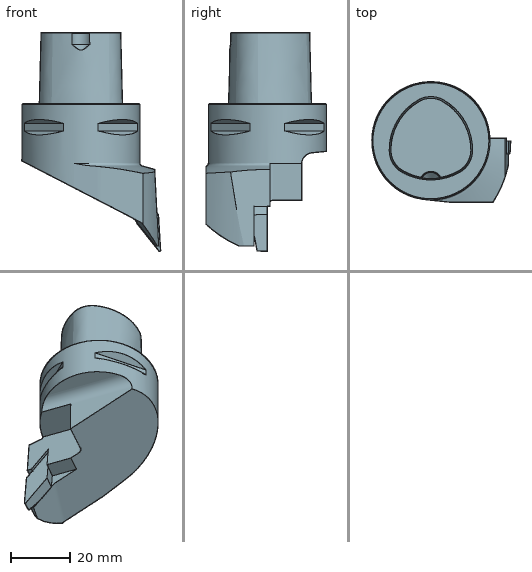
import cadquery as cq
import math


shank_length = 24.0
shank_width = 28.2
lobe_height = 0.85
shank_taper = math.degrees(math.atan(1 / 40))

notch_radius = 3.35
notch_y = -14.0
notch_depth = 4.0
notch_point_angle = 95.0
notch_rim = 0.3

flange_radius = 20.0
flange_chamfer = 0.4
flange_bottom = -20.2
groove_z = -8.0
groove_floor_distance = 17.65
groove_floor_height = 2.5
groove_flare = math.radians(30)

arm_front = -20.8
arm_corner_x = 6.25
arm_corner_blend = 11.0
arm_outer_arc = [(21.0, arm_front), (25.2, -12.0), (27.0, 0.9)]
arm_back = 0.9
arm_bottom = -50.0
arm_tip = -48.2
neck_radius = 20.9
neck_drop = 0.9
arm_top_slope = 0.29
side_x = 25.0
side_top = -22.4
side_slope = 0.05

underside_z = -19.4
underside_slope = 0.516
underside_blend = 3.0

clearance_points = [(18.9, -4.5, -40.2), (25.7, -4.5, -48.6), (20.9, -20.8, -40.7)]

relief_y = 11.6
relief_edge_z = -16.2
relief_slope = 0.1
relief_blend = 3.8
gullet_x = 5.9
gullet_blend = 1.0

insert_nose_radius = 0.4
insert_nose_centre = (26.6, -49.6)
insert_side = 13.3
insert_lead = 3.5
insert_angle = 35.0
insert_thickness = 4.5
insert_land = 0.7
insert_relief = 2.0
heel_depth = 3.5
heel_run = 0.75
heel_rise = 4.0
seat_top = -34.8
seat_left = 9.0

margin = 5.0


def polar(radius, angle):
    return cq.Vector(radius * math.cos(math.radians(angle)), radius * math.sin(math.radians(angle)))


def lobed_section():
    """Three small lobe arcs joined tangentially by three wide flank arcs, one lobe toward +Y."""
    half = shank_width / 2
    root3 = math.sqrt(3)
    lobe_radius = (shank_width - root3 * (half + lobe_height)) / (2 - root3)
    centre_distance = half + lobe_height - lobe_radius
    flank_distance = half - lobe_height
    section = None
    for angle in (90, 210, 330):
        centre = polar(centre_distance, angle)
        start = centre + polar(lobe_radius, angle - 30)
        end = centre + polar(lobe_radius, angle + 30)
        next_start = polar(centre_distance, angle + 120) + polar(lobe_radius, angle + 90)
        if section is None:
            section = cq.Workplane("XY").moveTo(start.x, start.y)
        section = section.threePointArc(
            polar(half + lobe_height, angle).toTuple()[:2], end.toTuple()[:2])
        section = section.threePointArc(
            polar(flank_distance, angle + 60).toTuple()[:2], next_start.toTuple()[:2])
    return section.close()


def make_shank():
    shank = lobed_section().extrude(shank_length, taper=shank_taper)
    point_height = notch_radius / math.tan(math.radians(notch_point_angle / 2))
    shoulder_z = shank_length - notch_depth
    drill = (
        cq.Workplane("XZ")
        .moveTo(0, shank_length)
        .lineTo(notch_radius + notch_rim, shank_length)
        .lineTo(notch_radius, shank_length - notch_rim)
        .lineTo(notch_radius, shoulder_z)
        .lineTo(0, shoulder_z - point_height)
        .close()
        .revolve(360, (0, 0), (0, 1))
        .translate((0, notch_y, 0))
    )
    return shank.cut(drill)


def make_flange():
    flange = cq.Workplane("XY").circle(flange_radius).extrude(arm_bottom)
    flange = flange.faces(">Z").edges().chamfer(flange_chamfer)
    depth = flange_radius - groove_floor_distance + margin
    floor_half = groove_floor_height / 2
    mouth_half = floor_half + depth * math.tan(groove_flare)
    groove = (
        cq.Workplane("XZ")
        .polyline([
            (groove_floor_distance, groove_z - floor_half),
            (groove_floor_distance + depth, groove_z - mouth_half),
            (groove_floor_distance + depth, groove_z + mouth_half),
            (groove_floor_distance, groove_z + floor_half),
        ])
        .close()
        .extrude(flange_radius, both=True)
    )
    for angle in (45, 135, 225, 315):
        flange = flange.cut(groove.rotate((0, 0, 0), (0, 0, 1), angle))
    return flange


def make_arm():
    corner_distance = math.hypot(arm_corner_x, arm_front)
    corner_angle = math.degrees(math.atan2(arm_front, arm_corner_x))
    tangent_angle = corner_angle - math.degrees(math.acos(flange_radius / corner_distance))
    tangent = polar(flange_radius, tangent_angle)
    outer_start, outer_middle, outer_end = arm_outer_arc
    arm = (
        cq.Workplane("XY")
        .moveTo(0, arm_back)
        .lineTo(tangent.x, tangent.y)
        .lineTo(arm_corner_x, arm_front)
        .lineTo(*outer_start)
        .threePointArc(outer_middle, outer_end)
        .close()
        .extrude(arm_bottom)
    )
    corner = cq.selectors.NearestToPointSelector((arm_corner_x, arm_front, arm_bottom / 2))
    arm = arm.edges(corner).fillet(arm_corner_blend)

    far = flange_radius + 4 * margin
    neck_z = flange_bottom - neck_drop
    bulge = math.sqrt(0.5)
    blend_middle = (
        neck_radius - (neck_radius - flange_radius) * bulge,
        flange_bottom - neck_drop * bulge,
    )
    envelope = (
        cq.Workplane("XZ")
        .moveTo(0, flange_bottom)
        .lineTo(flange_radius, flange_bottom)
        .threePointArc(blend_middle, (neck_radius, neck_z))
        .lineTo(far, neck_z - arm_top_slope * (far - neck_radius))
        .lineTo(far, arm_bottom)
        .lineTo(0, arm_bottom)
        .close()
        .revolve(360, (0, 0), (0, 1))
    )
    arm = arm.intersect(envelope)

    side_cut = (
        cq.Workplane("XZ")
        .polyline([
            (side_x + side_slope * side_top, 0),
            (side_x + side_slope * (side_top - arm_bottom), arm_bottom),
            (far, arm_bottom),
            (far, 0),
        ])
        .close()
        .extrude(far, both=True)
    )
    return arm.cut(side_cut)


def half_space(points, keep_point):
    """Large block on the far side of the plane through three points, away from keep_point."""
    first, second, third = (cq.Vector(*p) for p in points)
    normal = (second - first).cross(third - first)
    if normal.dot(cq.Vector(*keep_point) - first) > 0:
        normal = normal * -1
    plane = cq.Plane(origin=first, xDir=second - first, normal=normal)
    size = 4 * flange_radius
    return cq.Workplane(plane).rect(2 * size, 2 * size).extrude(size)


def underside_height(x):
    return underside_z - underside_slope * (x + flange_radius)


def insert_direction(lean):
    """Unit direction in the XZ plane, leaning from +Z toward -X."""
    return (-math.sin(math.radians(lean)), math.cos(math.radians(lean)))


def along(point, direction, distance):
    return (point[0] + direction[0] * distance, point[1] + direction[1] * distance)


def insert_outline(y):
    """Rhombic outline with a rounded cutting nose, in the XZ plane at the given Y."""
    outer = insert_direction(insert_lead)
    inner = insert_direction(insert_lead + insert_angle)
    middle = insert_direction(insert_lead + insert_angle / 2)
    half_angle = math.radians(insert_angle / 2)
    tip = along(insert_nose_centre, middle, -insert_nose_radius / math.sin(half_angle))
    tangent_length = insert_nose_radius / math.tan(half_angle)
    outer_corner = along(tip, outer, insert_side)
    return (
        cq.Workplane("XZ", origin=(0, y, 0))
        .moveTo(*along(tip, inner, tangent_length))
        .threePointArc(
            along(insert_nose_centre, middle, -insert_nose_radius),
            along(tip, outer, tangent_length))
        .lineTo(*outer_corner)
        .lineTo(*along(outer_corner, inner, insert_side))
        .lineTo(*along(tip, inner, insert_side))
        .close()
    )


def make_insert():
    land = insert_outline(0).extrude(insert_land)
    body = insert_outline(-insert_land).extrude(insert_thickness - insert_land, taper=insert_relief)
    nose_bottom = insert_nose_centre[1] - insert_nose_radius
    reach = 2
    heel = (
        cq.Workplane("YZ")
        .polyline([
            (-heel_depth, nose_bottom),
            (-heel_depth - reach * heel_run, nose_bottom + reach * heel_rise),
            (-heel_depth - reach * heel_run, nose_bottom),
        ])
        .close()
        .extrude(2 * insert_nose_centre[0])
    )
    return land.union(body).cut(heel)


def make_holder(insert):
    lower = make_flange().union(make_arm())
    span = 4 * flange_radius

    underside = half_space(
        [(x, y, underside_height(x)) for x, y in ((0, 0), (flange_radius, 0), (0, flange_radius))],
        (0, 0, 0))
    clearance = half_space(clearance_points, (25.0, -10.0, -35.0))
    break_x = (clearance_points[0][0] + clearance_points[2][0]) / 2
    break_edge = cq.selectors.NearestToPointSelector((break_x, arm_front / 2, underside_height(break_x)))
    below = underside.intersect(clearance).edges(break_edge).fillet(underside_blend)
    lower = lower.cut(below)

    relief_z = relief_edge_z - relief_slope * (flange_radius - relief_y)
    relief = (
        cq.Workplane("YZ")
        .polyline([
            (relief_y, relief_z),
            (flange_radius + margin, relief_edge_z + relief_slope * margin),
            (flange_radius + margin, arm_bottom - margin),
            (relief_y, arm_bottom - margin),
        ])
        .close()
        .extrude(span / 2, both=True)
        .edges(cq.selectors.NearestToPointSelector((0, relief_y, relief_z)))
        .fillet(relief_blend)
    )
    gullet = (
        cq.Workplane("XY", origin=(gullet_x, arm_back, flange_bottom))
        .rect(span, span, centered=False)
        .extrude(arm_bottom - margin - flange_bottom)
        .edges("|Z and <X and <Y")
        .fillet(gullet_blend)
    )
    exposed = (
        cq.Workplane("XY", origin=(seat_left, -insert_thickness, seat_top))
        .rect(span, span, centered=False)
        .extrude(arm_bottom - margin - seat_top)
    )
    opening = insert_outline(margin).extrude(margin)
    blunt = (
        cq.Workplane("XY", origin=(0, 0, arm_tip))
        .rect(span, span)
        .extrude(arm_bottom - margin - arm_tip)
    )
    lower = lower.cut(relief).cut(gullet).cut(opening).cut(insert).cut(exposed).cut(blunt)
    return make_shank().union(lower)


insert = make_insert()
holder = make_holder(insert)
result = cq.Compound.makeCompound([*holder.solids().vals(), *insert.solids().vals()])